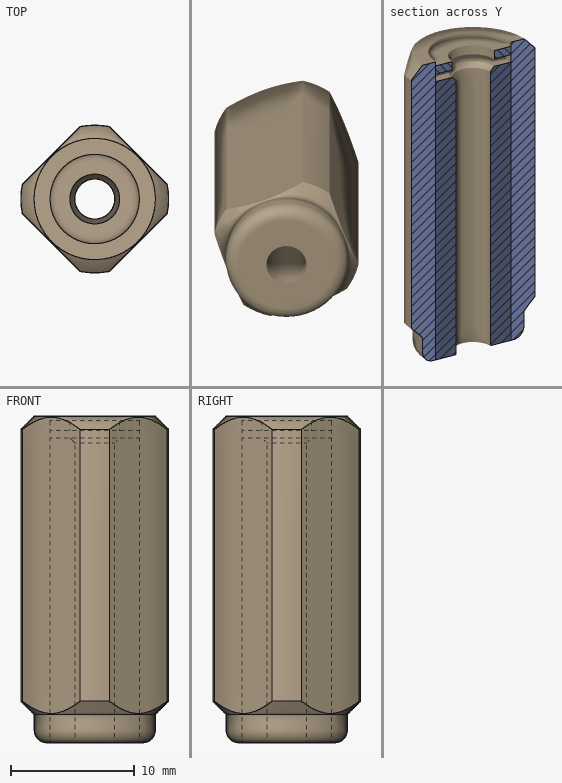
import cadquery as cq

total_length = 26.5
across_flats = 10.0
corner_diameter = 12.0

collar_diameter = 9.84
collar_length = 2.3
collar_rounding = 1.05

end_chamfer = (corner_diameter - collar_diameter) / 2

bore_diameter = 7.25
washer_depth = 0.36
washer_thickness = 0.78
washer_hole_diameter = 4.04
core_depth = 1.76
core_hole_diameter = 3.24
core_countersink_diameter = washer_hole_diameter
core_countersink = (core_countersink_diameter - core_hole_diameter) / 2


def bar_base():
    """Plane at the foot of the square bar, turned so that the corners of the bar point along X and Y."""
    return cq.Workplane("XY").workplane(offset=collar_length).transformed(rotate=(0, 0, 45))


def make_housing():
    """Square bar standing on its corners, chamfered at both ends, with a collar and a through bore."""
    bar_length = total_length - collar_length
    square = bar_base().rect(across_flats, across_flats).extrude(bar_length)
    chamfered_round = (
        bar_base()
        .circle(corner_diameter / 2)
        .extrude(bar_length)
        .edges("%CIRCLE")
        .chamfer(end_chamfer)
    )
    bar = square.intersect(chamfered_round)
    collar = (
        cq.Workplane("XY")
        .circle(collar_diameter / 2)
        .extrude(collar_length)
        .faces("<Z")
        .edges()
        .fillet(collar_rounding)
    )
    bore = cq.Workplane("XY").circle(bore_diameter / 2).extrude(total_length)
    return bar.union(collar).cut(bore).solids()


def make_washer():
    """Flat ring set just below the top face of the housing."""
    return (
        cq.Workplane("XY")
        .workplane(offset=total_length - washer_depth)
        .circle(bore_diameter / 2)
        .circle(washer_hole_diameter / 2)
        .extrude(-washer_thickness)
    )


def make_core():
    """Long sleeve filling the bore below the washer, countersunk at its upper end."""
    return (
        cq.Workplane("XY")
        .circle(bore_diameter / 2)
        .circle(core_hole_diameter / 2)
        .extrude(total_length - core_depth)
        .faces(">Z")
        .edges(cq.selectors.RadiusNthSelector(0))
        .chamfer(core_countersink)
        .solids()
    )


housing = make_housing()
washer = make_washer()
core = make_core()

result = cq.Compound.makeCompound([housing.val(), washer.val(), core.val()])